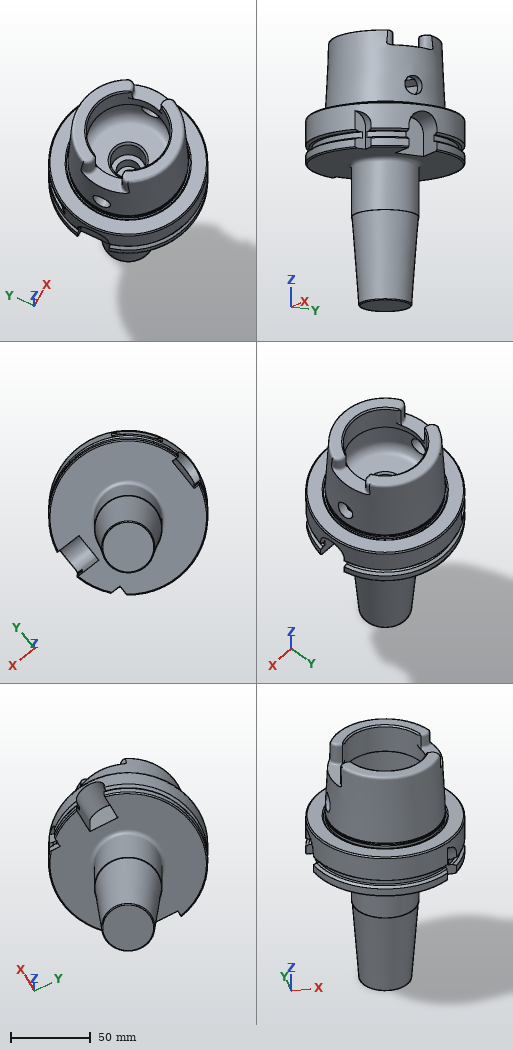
import cadquery as cq
import math

TOTAL_HEIGHT = 170
FLANGE_FACE_Z = 120.0
FLANGE_BOTTOM_Z = 91.0

TIP_RADIUS = 16.7
TIP_CHAMFER = 0.7
NOSE_RADIUS = 21.2
NOSE_CONE_TOP_Z = 57.1
NOSE_CONE_TOP_RADIUS = 20.9
NOSE_ROOT_FILLET = 2.7
TAPER_BASE_Z = 123.0
TAPER_BASE_RADIUS = 37.9
TAPER_SLOPE = 0.05
TOP_EDGE_FILLET = 1.9

RELIEF_RADIUS = 37.2
COLLAR_RADIUS = 37.7
COLLAR_TOP_Z = 121.0
FACE_RELIEF_RADIUS = 39.6
FACE_RELIEF_DEPTH = 0.8

FLANGE_RADIUS = 50.0
FLANGE_TOP_CHAMFER = 0.8
FLANGE_BOTTOM_CHAMFER = 0.8
GROOVE_RADIUS = 46.0
GROOVE_LIP_RADIUS = 48.0
GROOVE_TOP_Z = 101.8
GROOVE_BOTTOM_Z = 98.0
GROOVE_SLOPE = math.tan(math.radians(30))

BORE_RADIUS = 26.4
BORE_CHAMFER = 1.0
BORE_LIP_Z = 150.8
CAVITY_RADIUS = 31.6
CAVITY_FLOOR_FILLET = 7.0
CAVITY_FLOOR_Z = 123.0
UNDERCUT_ANGLE = math.radians(30)
THREAD_RADIUS = 11.2
THREAD_CHAMFER = 1.4
THREAD_DEPTH = 17
COOLANT_RADIUS = 7.6
COOLANT_DEPTH = 27.2

NOTCH_HALF_WIDTH = 10.0
NOTCH_CORNER_RADIUS = 5.0
NOTCH_SHOULDER_X = 32.0
NOTCH_FLOOR_FILLET = 1.7
NOTCH_REACH = 10.2
DEEP_NOTCH_DEPTH = 15.0
SHALLOW_NOTCH_DEPTH = 10.0

CROSS_HOLE_RADIUS = 6.1
CROSS_HOLE_Z = 134.8

KEYWAY_TOP_Z = 115.3
WIDE_KEYWAY_RADIUS = 11.0
WIDE_KEYWAY_FLOOR = 44.0
NARROW_KEYWAY_RADIUS = 10.0
NARROW_KEYWAY_FLOOR = 31.5
CORNER_NOTCH_WALL_Y = -31.5
LABEL_FLAT_OFFSET = 47.3
LABEL_FLAT_BOTTOM_Z = 108.0
LABEL_FLAT_HEIGHT = 8.2
LABEL_FLAT_ANGLE = 135

TOLERANCE = 0.2


def revolve(profile):
    """Turn a closed XZ profile about the Z axis."""
    return profile.revolve(360, (0, 0, 0), (0, 1, 0))


def outer_body():
    taper_top_radius = TAPER_BASE_RADIUS - TAPER_SLOPE * (TOTAL_HEIGHT - TAPER_BASE_Z)
    face_relief_z = FLANGE_FACE_Z - FACE_RELIEF_DEPTH
    collar_step = COLLAR_RADIUS - RELIEF_RADIUS
    taper_step = TAPER_BASE_RADIUS - RELIEF_RADIUS
    lip_rise = (FLANGE_RADIUS - GROOVE_LIP_RADIUS) * GROOVE_SLOPE
    fillet_turn = NOSE_ROOT_FILLET * (1 - math.sqrt(0.5))
    profile = (
        cq.Workplane("XZ")
        .lineTo(TIP_RADIUS - TIP_CHAMFER, 0)
        .lineTo(TIP_RADIUS, TIP_CHAMFER)
        .lineTo(NOSE_CONE_TOP_RADIUS, NOSE_CONE_TOP_Z)
        .lineTo(NOSE_RADIUS, NOSE_CONE_TOP_Z)
        .lineTo(NOSE_RADIUS, FLANGE_BOTTOM_Z - NOSE_ROOT_FILLET)
        .threePointArc(
            (NOSE_RADIUS + fillet_turn, FLANGE_BOTTOM_Z - fillet_turn),
            (NOSE_RADIUS + NOSE_ROOT_FILLET, FLANGE_BOTTOM_Z),
        )
        .lineTo(FLANGE_RADIUS - FLANGE_BOTTOM_CHAMFER, FLANGE_BOTTOM_Z)
        .lineTo(FLANGE_RADIUS, FLANGE_BOTTOM_Z + FLANGE_BOTTOM_CHAMFER)
        .lineTo(FLANGE_RADIUS, GROOVE_BOTTOM_Z - lip_rise)
        .lineTo(GROOVE_LIP_RADIUS, GROOVE_BOTTOM_Z)
        .lineTo(GROOVE_RADIUS, GROOVE_BOTTOM_Z)
        .lineTo(GROOVE_RADIUS, GROOVE_TOP_Z)
        .lineTo(GROOVE_LIP_RADIUS, GROOVE_TOP_Z)
        .lineTo(FLANGE_RADIUS, GROOVE_TOP_Z + lip_rise)
        .lineTo(FLANGE_RADIUS, FLANGE_FACE_Z - FLANGE_TOP_CHAMFER)
        .lineTo(FLANGE_RADIUS - FLANGE_TOP_CHAMFER, FLANGE_FACE_Z)
        .lineTo(FACE_RELIEF_RADIUS, FLANGE_FACE_Z)
        .lineTo(FACE_RELIEF_RADIUS - FACE_RELIEF_DEPTH, face_relief_z)
        .lineTo(COLLAR_RADIUS, face_relief_z)
        .lineTo(COLLAR_RADIUS, COLLAR_TOP_Z)
        .lineTo(RELIEF_RADIUS, COLLAR_TOP_Z + collar_step)
        .lineTo(RELIEF_RADIUS, TAPER_BASE_Z - taper_step)
        .lineTo(TAPER_BASE_RADIUS, TAPER_BASE_Z)
        .lineTo(taper_top_radius, TOTAL_HEIGHT)
        .lineTo(0, TOTAL_HEIGHT)
        .close()
    )
    return revolve(profile)


def clamping_bore():
    undercut = CAVITY_RADIUS - BORE_RADIUS
    undercut_z = BORE_LIP_Z - undercut * math.tan(UNDERCUT_ANGLE)
    fillet_turn = CAVITY_FLOOR_FILLET * (1 - math.sqrt(0.5))
    thread_bottom_z = CAVITY_FLOOR_Z - THREAD_DEPTH
    coolant_bottom_z = CAVITY_FLOOR_Z - COOLANT_DEPTH
    profile = (
        cq.Workplane("XZ")
        .moveTo(0, TOTAL_HEIGHT)
        .lineTo(BORE_RADIUS + BORE_CHAMFER, TOTAL_HEIGHT)
        .lineTo(BORE_RADIUS, TOTAL_HEIGHT - BORE_CHAMFER)
        .lineTo(BORE_RADIUS, BORE_LIP_Z)
        .lineTo(CAVITY_RADIUS, undercut_z)
        .lineTo(CAVITY_RADIUS, CAVITY_FLOOR_Z + CAVITY_FLOOR_FILLET)
        .threePointArc(
            (CAVITY_RADIUS - fillet_turn, CAVITY_FLOOR_Z + fillet_turn),
            (CAVITY_RADIUS - CAVITY_FLOOR_FILLET, CAVITY_FLOOR_Z),
        )
        .lineTo(THREAD_RADIUS + THREAD_CHAMFER, CAVITY_FLOOR_Z)
        .lineTo(THREAD_RADIUS, CAVITY_FLOOR_Z - THREAD_CHAMFER)
        .lineTo(THREAD_RADIUS, thread_bottom_z)
        .lineTo(COOLANT_RADIUS, thread_bottom_z)
        .lineTo(COOLANT_RADIUS, coolant_bottom_z)
        .lineTo(0, coolant_bottom_z)
        .close()
    )
    return revolve(profile)


def driving_notch(side, depth):
    """Cutter for a notch on the +X (side = 1) or -X (side = -1) wall of the open end."""
    bore_corner_x = math.sqrt(BORE_RADIUS**2 - NOTCH_HALF_WIDTH**2)
    bevel_x = bore_corner_x + BORE_CHAMFER
    inner_x = BORE_RADIUS - NOTCH_REACH
    inner_y = NOTCH_HALF_WIDTH + bevel_x - inner_x
    outer_x = FLANGE_RADIUS
    flare_y = TAPER_BASE_RADIUS
    corner_x = NOTCH_SHOULDER_X - NOTCH_CORNER_RADIUS
    corner_y = NOTCH_HALF_WIDTH + NOTCH_CORNER_RADIUS
    turn = NOTCH_CORNER_RADIUS * math.sqrt(0.5)
    outline = (
        cq.Workplane("XY", origin=(0, 0, TOTAL_HEIGHT - depth))
        .moveTo(inner_x, -inner_y)
        .lineTo(bevel_x, -NOTCH_HALF_WIDTH)
        .lineTo(corner_x, -NOTCH_HALF_WIDTH)
        .threePointArc((corner_x + turn, -corner_y + turn), (NOTCH_SHOULDER_X, -corner_y))
        .lineTo(NOTCH_SHOULDER_X, -flare_y)
        .lineTo(outer_x, -flare_y)
        .lineTo(outer_x, flare_y)
        .lineTo(NOTCH_SHOULDER_X, flare_y)
        .lineTo(NOTCH_SHOULDER_X, corner_y)
        .threePointArc((corner_x + turn, corner_y - turn), (corner_x, NOTCH_HALF_WIDTH))
        .lineTo(bevel_x, NOTCH_HALF_WIDTH)
        .lineTo(inner_x, inner_y)
        .close()
    )
    wall_edges = cq.selectors.BoxSelector(
        (inner_x + TOLERANCE, -flare_y, 0), (NOTCH_SHOULDER_X + TOLERANCE, flare_y, TOTAL_HEIGHT)
    )
    cutter = outline.extrude(2 * depth).faces("<Z").edges(wall_edges).fillet(NOTCH_FLOOR_FILLET)
    return cutter if side > 0 else cutter.rotate((0, 0, 0), (0, 0, 1), 180)


def keyway(side, radius, floor_x, center_y=0):
    """Round-topped slot cut from the rim in to |X| = floor_x and down through the flange."""
    center_z = KEYWAY_TOP_Z - radius
    slot = (
        cq.Workplane("YZ", origin=(side * floor_x, 0, 0))
        .moveTo(center_y - radius, FLANGE_BOTTOM_Z)
        .lineTo(center_y - radius, center_z)
        .threePointArc((center_y, KEYWAY_TOP_Z), (center_y + radius, center_z))
        .lineTo(center_y + radius, FLANGE_BOTTOM_Z)
        .close()
    )
    return slot.extrude(side * FLANGE_RADIUS)


def label_flat():
    depth = FLANGE_RADIUS - LABEL_FLAT_OFFSET
    return (
        cq.Workplane("XY")
        .box(2 * depth, 2 * FLANGE_RADIUS, LABEL_FLAT_HEIGHT, centered=(False, True, False))
        .translate((LABEL_FLAT_OFFSET, 0, LABEL_FLAT_BOTTOM_Z))
        .rotate((0, 0, 0), (0, 0, 1), LABEL_FLAT_ANGLE)
    )


def round_open_end(body):
    """Round the outline of the two end lands, leaving their chamfered bore edge as it is."""
    land_inner_radius = BORE_RADIUS + BORE_CHAMFER

    def is_outline(edge):
        middle = edge.positionAt(0.5)
        return math.hypot(middle.x, middle.y) > land_inner_radius + TOLERANCE

    return body.faces(">Z").edges().filter(is_outline).fillet(TOP_EDGE_FILLET)


cross_hole = (
    cq.Workplane("YZ", origin=(0, 0, CROSS_HOLE_Z))
    .circle(CROSS_HOLE_RADIUS)
    .extrude(FLANGE_RADIUS, both=True)
)

holder = outer_body().cut(clamping_bore())
holder = holder.cut(driving_notch(-1, DEEP_NOTCH_DEPTH))
holder = holder.cut(driving_notch(1, SHALLOW_NOTCH_DEPTH))
holder = round_open_end(holder)
holder = holder.cut(cross_hole)
holder = holder.cut(keyway(-1, WIDE_KEYWAY_RADIUS, WIDE_KEYWAY_FLOOR))
holder = holder.cut(keyway(1, NARROW_KEYWAY_RADIUS, NARROW_KEYWAY_FLOOR))
corner_center_y = CORNER_NOTCH_WALL_Y - NARROW_KEYWAY_RADIUS
holder = holder.cut(keyway(1, NARROW_KEYWAY_RADIUS, NARROW_KEYWAY_FLOOR, corner_center_y))
result = holder.cut(label_flat())